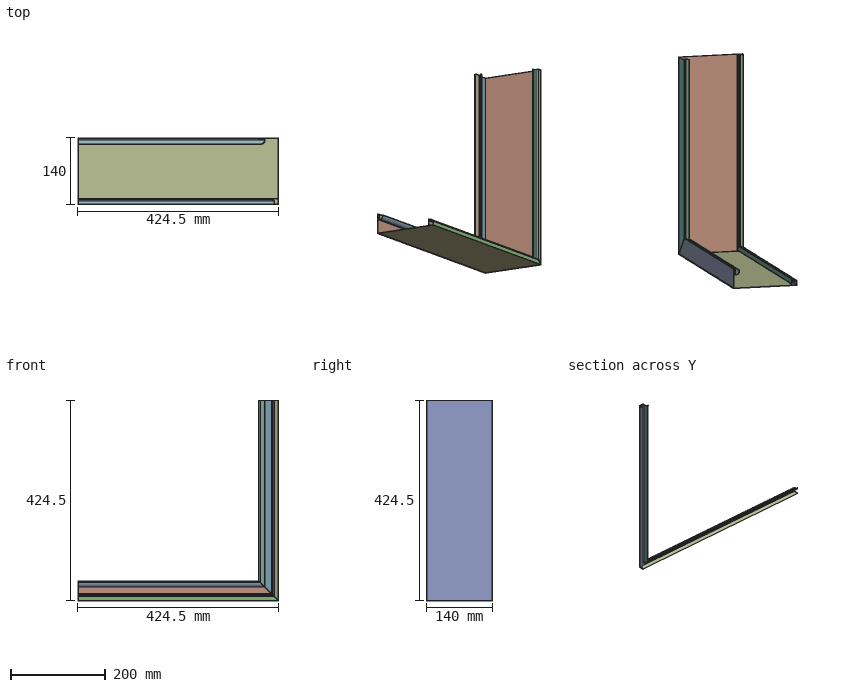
import cadquery as cq
import math

LEG_LENGTH = 424.5
DEPTH = 140.0
WALL_HEIGHT = 42.5
SHEET = 1.05

FLANGE_HEIGHT = 10.0
FLANGE_DEPTH = 7.0
RIDGE_HEIGHT = 15.3
RIDGE_DEPTH = 12.5
RIDGE_TOP_WIDTH = 2.5
SLOPE_TOP = 13.0
RETURN_BOTTOM = 3.5

FOLD_DEPTH = 4.2
GUTTER_BOTTOM = 29.3
FOLD_RADIUS = 2.0
GUTTER_TIP = 39.0
GUTTER_DEPTH = 13.0
NOSE_RADIUS = 7.5


def offset_left(path, distance):
    """Shift an open path to its left, keeping sharp mitred corners."""
    normals = []
    for (y0, h0), (y1, h1) in zip(path, path[1:]):
        length = math.hypot(y1 - y0, h1 - h0)
        normals.append(((h0 - h1) / length, (y1 - y0) / length))
    before = [normals[0]] + normals
    after = normals + [normals[-1]]
    shifted = []
    for (y, h), (ny0, nh0), (ny1, nh1) in zip(path, before, after):
        reach = distance / (1 + ny0 * ny1 + nh0 * nh1)
        shifted.append((y + reach * (ny0 + ny1), h + reach * (nh0 + nh1)))
    return shifted


def section_path():
    """Sheet face to the right of the sheet, from the front return leg to the gutter tip."""
    front_lip = [
        (RIDGE_DEPTH, RETURN_BOTTOM),
        (RIDGE_DEPTH, RIDGE_HEIGHT),
        (RIDGE_DEPTH - RIDGE_TOP_WIDTH, RIDGE_HEIGHT),
        (RIDGE_DEPTH - RIDGE_TOP_WIDTH, SLOPE_TOP),
        (FLANGE_DEPTH, FLANGE_HEIGHT),
        (0, FLANGE_HEIGHT),
    ]
    base_and_wall = [(0, 0), (DEPTH, 0), (DEPTH, WALL_HEIGHT)]
    fold_y = DEPTH - FOLD_DEPTH
    nose_y = DEPTH - GUTTER_DEPTH
    back_lip = [
        (fold_y, WALL_HEIGHT),
        (fold_y, GUTTER_BOTTOM + SHEET),
        (nose_y + SHEET, GUTTER_BOTTOM + SHEET),
        (nose_y + SHEET, GUTTER_TIP),
    ]
    return front_lip + base_and_wall + back_lip


def round_edge(body, y, h, radius):
    """Round the lengthwise edge that passes through section point (y, h)."""
    edge = body.edges("|X").edges(cq.selectors.NearestToPointSelector((LEG_LENGTH / 2, y, h)))
    return edge.fillet(radius)


def make_section_bar():
    """Full-length straight bar of the sheet section along X."""
    path = section_path()
    outline = path + offset_left(path, SHEET)[::-1]
    bar = cq.Workplane("YZ").polyline(outline).close().extrude(LEG_LENGTH)
    fold_y = DEPTH - FOLD_DEPTH
    nose_y = DEPTH - GUTTER_DEPTH
    bar = round_edge(bar, fold_y, WALL_HEIGHT, FOLD_RADIUS)
    bar = round_edge(bar, fold_y + SHEET, WALL_HEIGHT - SHEET, FOLD_RADIUS - SHEET)
    bar = round_edge(bar, nose_y, GUTTER_BOTTOM, NOSE_RADIUS)
    return round_edge(bar, nose_y + SHEET, GUTTER_BOTTOM + SHEET, NOSE_RADIUS - SHEET)


def make_bottom_leg():
    """Section bar with its +X end cut at 45 degrees."""
    mitre_keep = (
        cq.Workplane("XZ")
        .polyline([(0, 0), (LEG_LENGTH, 0), (0, LEG_LENGTH)])
        .close()
        .extrude(-DEPTH)
    )
    return make_section_bar().intersect(mitre_keep)


def make_upright_leg(bottom_leg):
    """Mirror image of the bottom leg across the mitre plane."""
    return bottom_leg.mirror(cq.Vector(1, 0, 1), (LEG_LENGTH, 0, 0))


bottom_leg = make_bottom_leg()
upright_leg = make_upright_leg(bottom_leg)

result = cq.Compound.makeCompound([bottom_leg.val(), upright_leg.val()])